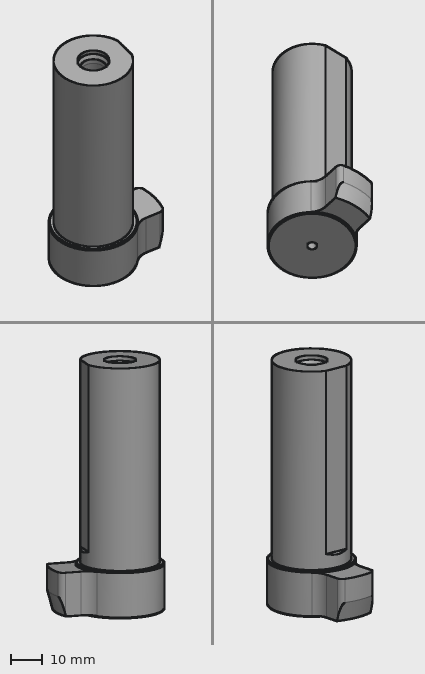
import cadquery as cq
import math

total_height = 80.0
tube_diameter = 25.0
collar_diameter = 28.0
collar_height = 15.0
collar_chamfer = 0.4

flat_offset = 11.8
flat_bottom_z = 20.0

tab_reach = 23.0
tab_width = 14.0
tab_end_gap = 0.5
tab_corner_radius = 2.0
tab_root_radius = 6.0
tab_bevel_top_z = 6.8
tab_bevel_inset = 1.7

mouth_diameter = 10.0
mouth_depth = 1.4
lead_in_diameter = 8.3
lead_in_depth = 2.9
bore_diameter = 8.0
bore_taper_depth = 4.4
bore_floor_z = collar_height
counterbore_diameter = 4.5
counterbore_depth = 4.0
through_diameter = 3.0

tube_radius = tube_diameter / 2
collar_radius = collar_diameter / 2


def make_collar():
    """Foot ring with both outer edges chamfered."""
    return cq.Workplane("XY").circle(collar_radius).extrude(collar_height).edges().chamfer(collar_chamfer)


def make_tube():
    """Round tube with the flat and its 45 degree run-out removed."""
    tube = cq.Workplane("XY").circle(tube_radius).extrude(total_height)
    flat_depth = tube_radius - flat_offset
    flat_cutter = (
        cq.Workplane("YZ")
        .moveTo(flat_offset, total_height)
        .lineTo(flat_offset, flat_bottom_z)
        .lineTo(tube_radius, flat_bottom_z - flat_depth)
        .lineTo(tube_radius, total_height)
        .close()
        .extrude(tube_radius, both=True)
    )
    return tube.cut(flat_cutter)


def make_tab():
    """Lever with filleted roots, rounded corners and a conical bevel under its tip."""
    half_width = tab_width / 2

    corner_x = half_width - tab_corner_radius
    corner_y = math.sqrt((tab_reach - tab_corner_radius) ** 2 - corner_x**2)
    tip_scale = tab_reach / (tab_reach - tab_corner_radius)
    tip_x = corner_x * tip_scale
    tip_y = corner_y * tip_scale

    root_x = half_width + tab_root_radius
    root_y = math.sqrt((collar_radius + tab_root_radius) ** 2 - root_x**2)
    collar_scale = collar_radius / (collar_radius + tab_root_radius)
    foot_x = root_x * collar_scale
    foot_y = root_y * collar_scale

    tab_height = collar_height - 2 * tab_end_gap
    tab = (
        cq.Workplane("XY", origin=(0, 0, tab_end_gap))
        .moveTo(0, 0)
        .lineTo(foot_x, foot_y)
        .radiusArc((half_width, root_y), tab_root_radius)
        .lineTo(half_width, corner_y)
        .radiusArc((tip_x, tip_y), -tab_corner_radius)
        .threePointArc((0, tab_reach), (-tip_x, tip_y))
        .radiusArc((-half_width, corner_y), -tab_corner_radius)
        .lineTo(-half_width, root_y)
        .radiusArc((-foot_x, foot_y), tab_root_radius)
        .close()
        .extrude(tab_height)
    )
    envelope = (
        cq.Workplane("XZ")
        .moveTo(0, tab_end_gap)
        .lineTo(tab_reach - tab_bevel_inset, tab_end_gap)
        .lineTo(tab_reach, tab_bevel_top_z)
        .lineTo(tab_reach, collar_height)
        .lineTo(0, collar_height)
        .close()
        .revolve(360, (0, 0, 0), (0, 1, 0))
    )
    return tab.intersect(envelope)


def make_axial_hole():
    """Tool for the stepped hole, revolved about the tube axis."""
    counterbore_floor_z = bore_floor_z - counterbore_depth
    profile = [
        (0, 0),
        (through_diameter / 2, 0),
        (through_diameter / 2, counterbore_floor_z),
        (counterbore_diameter / 2, counterbore_floor_z),
        (counterbore_diameter / 2, bore_floor_z),
        (bore_diameter / 2, bore_floor_z),
        (bore_diameter / 2, total_height - bore_taper_depth),
        (lead_in_diameter / 2, total_height - lead_in_depth),
        (mouth_diameter / 2, total_height - mouth_depth),
        (mouth_diameter / 2, total_height),
        (0, total_height),
    ]
    return cq.Workplane("XZ").polyline(profile).close().revolve(360, (0, 0, 0), (0, 1, 0))


result = make_collar().union(make_tab()).union(make_tube()).cut(make_axial_hole())